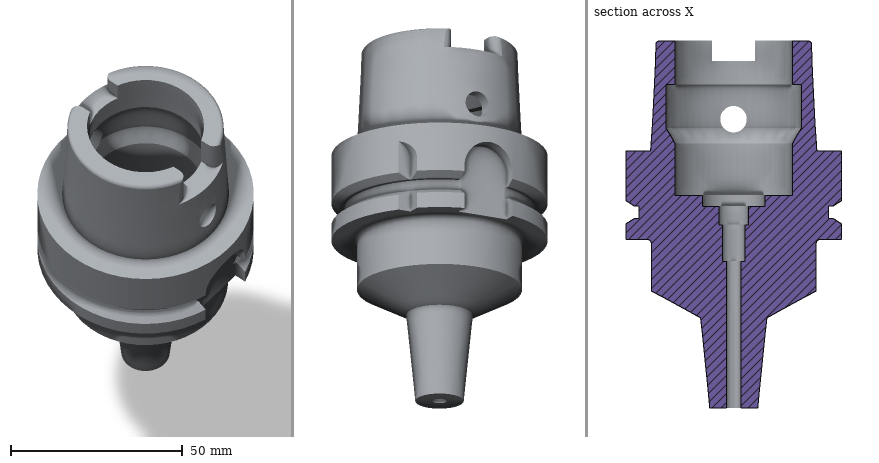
import cadquery as cq
import math

TOTAL_HEIGHT = 107.0
CONE_BOTTOM = 26.3
NECK_BOTTOM = 34.1
FLANGE_BOTTOM = 49.1
GROOVE_BOTTOM = 55.3
GROOVE_TOP = 58.8
GROOVE_LIP_HEIGHT = 1.6
FLANGE_TOP = 75.0

NOSE_RADIUS = 7.1
NOSE_ROOT_RADIUS = 9.7
NECK_RADIUS = 24.1
NECK_FILLET = 1.2
FLANGE_DIAMETER = 63.0
FLANGE_RADIUS = FLANGE_DIAMETER / 2
GROOVE_LIP_RADIUS = 29.0
GROOVE_RADIUS = 27.7
SHANK_BASE_RADIUS = 24.3
SHANK_TAPER = 0.05
SHANK_TOP_RADIUS = SHANK_BASE_RADIUS - SHANK_TAPER * (TOTAL_HEIGHT - FLANGE_TOP)
RIM_FILLET = 1.1

CROSS_HOLE_RADIUS = 3.9
CROSS_HOLE_HEIGHT = 84.1

MOUTH_RADIUS = 17.0
MOUTH_DEPTH = 12.8
CHAMBER_RADIUS = 19.7
CHAMBER_BOTTOM = 81.5
CHAMBER_CONE_BOTTOM = 77.0
WELL_FLOOR = 62.1
COUNTERBORE_RADIUS = 9.0
COUNTERBORE_FLOOR = 58.8
PILOT_RADIUS = 4.2
PILOT_FLOOR = 53.5
PILOT_STEP_RADIUS = 3.2
PILOT_STEP_FLOOR = 42.8
THROUGH_RADIUS = 2.0

RIM_SLOT_HALF_WIDTH = 6.3
RIM_SLOT_FLARE_RADIUS = 2.5
RIM_SLOT_FLARE_END = 20.9
RIM_SLOT_FLOOR_LEFT = 101.0
RIM_SLOT_FLOOR_RIGHT = 96.9

KEYWAY_TOP = 70.2
LEFT_KEYWAY_WIDTH = 15.8
LEFT_KEYWAY_FLOOR = 26.8
RIGHT_KEYWAY_WIDTH = 18.0
RIGHT_KEYWAY_FLOOR = 26.5

NOTCH_OFFSET = 20.2
NOTCH_ARC_RADIUS = 5.6

CLEARANCE = 5.4


def make_body():
    """Revolve the outside: nose, cone, neck, grooved flange and tapered shank."""
    profile = [
        (0, 0),
        (NOSE_RADIUS, 0),
        (NOSE_ROOT_RADIUS, CONE_BOTTOM),
        (NECK_RADIUS, NECK_BOTTOM),
        (NECK_RADIUS, FLANGE_BOTTOM),
        (FLANGE_RADIUS, FLANGE_BOTTOM),
        (FLANGE_RADIUS, GROOVE_BOTTOM - GROOVE_LIP_HEIGHT),
        (GROOVE_LIP_RADIUS, GROOVE_BOTTOM),
        (GROOVE_RADIUS, GROOVE_BOTTOM),
        (GROOVE_RADIUS, GROOVE_TOP),
        (GROOVE_LIP_RADIUS, GROOVE_TOP),
        (FLANGE_RADIUS, GROOVE_TOP + GROOVE_LIP_HEIGHT),
        (FLANGE_RADIUS, FLANGE_TOP),
        (SHANK_BASE_RADIUS, FLANGE_TOP),
        (SHANK_TOP_RADIUS, TOTAL_HEIGHT),
        (0, TOTAL_HEIGHT),
    ]
    body = cq.Workplane("XZ").polyline(profile).close().revolve(360, (0, 0), (0, 1))
    body = body.faces(">Z").edges().fillet(RIM_FILLET)
    margin = NECK_FILLET / 2
    corner_box = cq.selectors.BoxSelector(
        (-FLANGE_RADIUS, -FLANGE_RADIUS, FLANGE_BOTTOM - margin),
        (FLANGE_RADIUS, FLANGE_RADIUS, FLANGE_BOTTOM + margin),
    )
    neck_corner = body.edges(corner_box).edges(cq.selectors.RadiusNthSelector(0))
    return neck_corner.fillet(NECK_FILLET)


def make_bore():
    """Revolve the inside: mouth, undercut chamber, well and the stepped centre hole."""
    lip = TOTAL_HEIGHT - MOUTH_DEPTH
    profile = [
        (0, 0),
        (THROUGH_RADIUS, 0),
        (THROUGH_RADIUS, PILOT_STEP_FLOOR),
        (PILOT_STEP_RADIUS, PILOT_STEP_FLOOR),
        (PILOT_STEP_RADIUS, PILOT_FLOOR),
        (PILOT_RADIUS, PILOT_FLOOR),
        (PILOT_RADIUS, COUNTERBORE_FLOOR),
        (COUNTERBORE_RADIUS, COUNTERBORE_FLOOR),
        (COUNTERBORE_RADIUS, WELL_FLOOR),
        (MOUTH_RADIUS, WELL_FLOOR),
        (MOUTH_RADIUS, CHAMBER_CONE_BOTTOM),
        (CHAMBER_RADIUS, CHAMBER_BOTTOM),
        (CHAMBER_RADIUS, lip),
        (MOUTH_RADIUS, lip),
        (MOUTH_RADIUS, TOTAL_HEIGHT),
        (0, TOTAL_HEIGHT),
    ]
    return cq.Workplane("XZ").polyline(profile).close().revolve(360, (0, 0), (0, 1))


def make_rim_slot(side, floor):
    """Slot from the axis out through the rim on one side, with rounded outer corners."""
    flare_start = side * (RIM_SLOT_FLARE_END - RIM_SLOT_FLARE_RADIUS)
    flare_end = side * RIM_SLOT_FLARE_END
    outside = side * FLANGE_RADIUS
    half = RIM_SLOT_HALF_WIDTH
    flared_half = half + RIM_SLOT_FLARE_RADIUS
    outer_half = flared_half + CLEARANCE
    arc_x = flare_start + side * RIM_SLOT_FLARE_RADIUS * math.sqrt(0.5)
    arc_y = flared_half - RIM_SLOT_FLARE_RADIUS * math.sqrt(0.5)
    return (
        cq.Workplane("XY", origin=(0, 0, floor))
        .moveTo(0, -half)
        .lineTo(flare_start, -half)
        .threePointArc((arc_x, -arc_y), (flare_end, -flared_half))
        .lineTo(flare_end, -outer_half)
        .lineTo(outside, -outer_half)
        .lineTo(outside, outer_half)
        .lineTo(flare_end, outer_half)
        .lineTo(flare_end, flared_half)
        .threePointArc((arc_x, arc_y), (flare_start, half))
        .lineTo(0, half)
        .close()
        .extrude(TOTAL_HEIGHT - floor)
    )


def make_keyway(side, width, floor):
    """Round-topped keyway with a flat floor, open at the bottom of the flange."""
    half = width / 2
    arc_center = KEYWAY_TOP - half
    return (
        cq.Workplane("YZ", origin=(side * floor, 0, 0))
        .moveTo(-half, FLANGE_BOTTOM)
        .lineTo(half, FLANGE_BOTTOM)
        .lineTo(half, arc_center)
        .threePointArc((0, KEYWAY_TOP), (-half, arc_center))
        .close()
        .extrude(side * (FLANGE_RADIUS - floor + CLEARANCE))
    )


def make_corner_notch():
    """Square-cornered notch at -X +Y whose wall curves outward at the top."""
    outer = FLANGE_RADIUS + CLEARANCE
    arc_start = KEYWAY_TOP - NOTCH_ARC_RADIUS
    arc_center_y = NOTCH_OFFSET + NOTCH_ARC_RADIUS
    arc_step = NOTCH_ARC_RADIUS * math.sqrt(0.5)
    return (
        cq.Workplane("YZ", origin=(-NOTCH_OFFSET, 0, 0))
        .moveTo(NOTCH_OFFSET, FLANGE_BOTTOM)
        .lineTo(NOTCH_OFFSET, arc_start)
        .threePointArc((arc_center_y - arc_step, arc_start + arc_step), (arc_center_y, KEYWAY_TOP))
        .lineTo(outer, KEYWAY_TOP)
        .lineTo(outer, FLANGE_BOTTOM)
        .close()
        .extrude(NOTCH_OFFSET - outer)
    )


cross_hole = (
    cq.Workplane("YZ", origin=(0, 0, CROSS_HOLE_HEIGHT))
    .circle(CROSS_HOLE_RADIUS)
    .extrude(FLANGE_RADIUS, both=True)
)

result = (
    make_body()
    .cut(make_bore())
    .cut(make_rim_slot(-1, RIM_SLOT_FLOOR_LEFT))
    .cut(make_rim_slot(1, RIM_SLOT_FLOOR_RIGHT))
    .cut(cross_hole)
    .cut(make_keyway(-1, LEFT_KEYWAY_WIDTH, LEFT_KEYWAY_FLOOR))
    .cut(make_keyway(1, RIGHT_KEYWAY_WIDTH, RIGHT_KEYWAY_FLOOR))
    .cut(make_corner_notch())
)